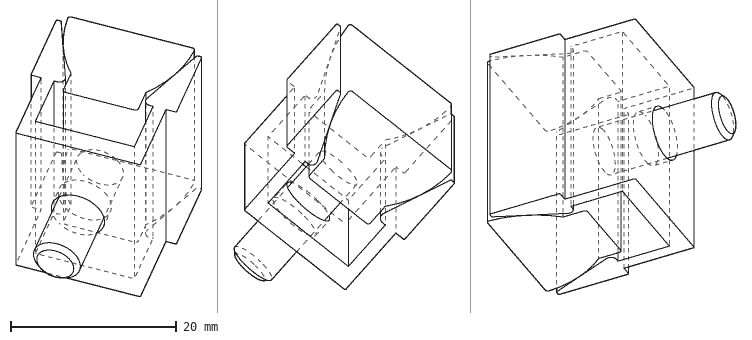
import cadquery as cq

height = 23.88

clamp_half_width = 18.65 / 2
channel_half_width = 8.0
wall = 1.65
web = 2.57
jaw_base_y = 9.55
jaw_tip_y = 19.08
jaw_tip_width = 0.63
jaw_nose_half_gap = 4.83
nose_radius = 0.7
clamp_edge_radius = 0.15
hole_radius = 3.4

block_back_y = 20.1
block_front_y = 8.23
block_half_width = 8.1
neck_half_width = 4.8
neck_top_y = 11.37
block_corner_radius = 0.37
flank_top_y = 19.7
flank_contact_y = 15.28
flank_clearance = 0.015

pin_radius = 3.0
pin_end_y = block_back_y - 28.57
pin_chamfer = 0.63


def jaw_face_x(y):
    """Half gap between the tapered jaw faces at the given Y."""
    tip_x = clamp_half_width - jaw_tip_width
    slope = (tip_x - jaw_nose_half_gap) / (jaw_tip_y - jaw_base_y)
    return jaw_nose_half_gap + slope * (y - jaw_base_y)


def mirrored_prism(right_side):
    """Extrude a half profile running from X = 0 to X = 0, with its mirror image."""
    half = right_side.close().extrude(height / 2, both=True)
    return half.union(half.mirror("YZ")).clean()


def fillet_vertical_edges(body, corners, radius):
    """Round the Z edges at the given (X, Y) corners and at their mirror images."""
    for x, y in corners:
        for side in (-1, 1):
            body = body.edges(cq.selectors.NearestToPointSelector((side * x, y, 0))).fillet(radius)
    return body


def make_clamp():
    channel_inner = channel_half_width - wall
    body = mirrored_prism(
        cq.Workplane("XY")
        .moveTo(0, 0)
        .lineTo(channel_half_width, 0)
        .lineTo(channel_half_width, jaw_base_y)
        .lineTo(clamp_half_width, jaw_base_y)
        .lineTo(clamp_half_width, jaw_tip_y)
        .lineTo(clamp_half_width - jaw_tip_width, jaw_tip_y)
        .lineTo(jaw_nose_half_gap, jaw_base_y)
        .lineTo(channel_inner, jaw_base_y)
        .lineTo(channel_inner, web)
        .lineTo(0, web)
    )
    body = fillet_vertical_edges(body, [(jaw_nose_half_gap, jaw_base_y)], nose_radius)
    outer_corners = [
        (channel_half_width, 0),
        (clamp_half_width, jaw_base_y),
        (clamp_half_width, jaw_tip_y),
        (clamp_half_width - jaw_tip_width, jaw_tip_y),
    ]
    body = fillet_vertical_edges(body, outer_corners, clamp_edge_radius)
    hole = cq.Workplane("XZ").circle(hole_radius).extrude(-web)
    return body.cut(hole)


def make_block():
    contact = (jaw_face_x(flank_contact_y) - flank_clearance, flank_contact_y)
    body = mirrored_prism(
        cq.Workplane("XY")
        .moveTo(0, block_front_y)
        .lineTo(neck_half_width, block_front_y)
        .lineTo(neck_half_width, neck_top_y)
        .threePointArc(contact, (block_half_width, flank_top_y))
        .lineTo(block_half_width, block_back_y)
        .lineTo(0, block_back_y)
    )
    corners = [(neck_half_width, block_front_y), (block_half_width, block_back_y)]
    return fillet_vertical_edges(body, corners, block_corner_radius)


def make_pin():
    pin = cq.Workplane("XZ", origin=(0, block_front_y, 0)).circle(pin_radius)
    return pin.extrude(block_front_y - pin_end_y).faces("<Y").chamfer(pin_chamfer)


clamp = make_clamp()
block = make_block()
pin = make_pin()

result = cq.Compound.makeCompound([clamp.solids().val(), block.solids().val(), pin.solids().val()])